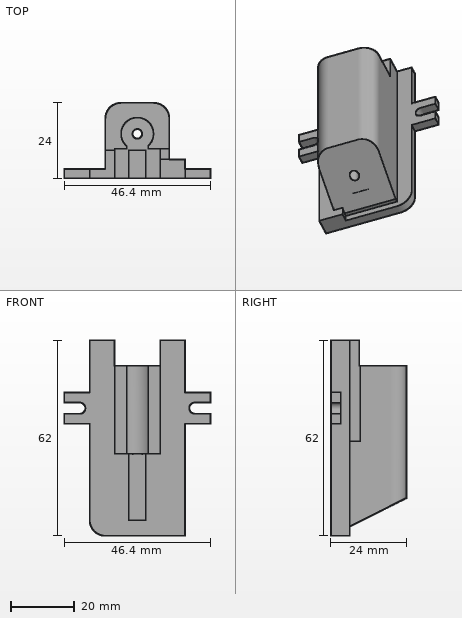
import cadquery as cq

height = 62
plate_width = 30.25
plate_thickness = 3.05
plate_corner_radius = 5.0
rail_thickness = 6.0
post_rib_depth = 9.0

lug_span = 46.4
lug_height = 10.0
lug_center_z = 40.5
notch_width = 3.5
notch_depth = 6.7

housing_width = 20.35
housing_back = 24.0
housing_corner_radius = 5.0
housing_top = 53.95
housing_bottom = 2.1
slope_start_y = 4.3
slope_end_z = 12.0

pocket_width = 14.4
pocket_depth = 9.35
pocket_floor = 26.05
slot_width = 5.3
slot_depth = 9.0
slot_floor = 4.9
gap_floor = 30.0
bore_diameter = 10.3
bore_y = 14.15
neck_width = 6.8
through_diameter = 3.0


def block(x_range, y_range, z_range):
    """Axis-aligned box spanning the given (low, high) ranges."""
    sizes = [high - low for low, high in (x_range, y_range, z_range)]
    corner = (x_range[0], y_range[0], z_range[0])
    return cq.Workplane("XY").box(*sizes, centered=False).translate(corner)


def centered_block(width, y_range, z_range):
    """Box of the given width, symmetric about X = 0."""
    return block((-width / 2, width / 2), y_range, z_range)


def vertical_cylinder(diameter, z_range):
    """Cylinder on the bore axis."""
    low, high = z_range
    base = cq.Workplane("XY", origin=(0, bore_y, low))
    return base.circle(diameter / 2).extrude(high - low)


def make_plate():
    """Plate with one rounded lower corner and a thicker rail on its +X side."""
    plate = centered_block(plate_width, (0, plate_thickness), (0, height))
    plate = plate.edges("|Y and <X and <Z").fillet(plate_corner_radius)
    rail = block((pocket_width / 2, plate_width / 2), (0, rail_thickness), (0, height))
    return plate.union(rail)


def make_lugs():
    """Bar across the plate, notched with a rounded slot at both ends."""
    lug_z = (lug_center_z - lug_height / 2, lug_center_z + lug_height / 2)
    lugs = centered_block(lug_span, (0, plate_thickness), lug_z)
    for side in (-1, 1):
        notch = (
            cq.Workplane("XZ", origin=(side * lug_span / 2, 0, lug_center_z))
            .slot2D(2 * notch_depth, notch_width)
            .extrude(-plate_thickness)
        )
        lugs = lugs.cut(notch)
    return lugs


def make_housing():
    """Round-backed body with a sloping underside."""
    profile = [
        (0, housing_bottom),
        (slope_start_y, housing_bottom),
        (housing_back, slope_end_z),
        (housing_back, housing_top),
        (0, housing_top),
    ]
    side_profile = cq.Workplane("YZ").polyline(profile).close()
    housing = side_profile.extrude(housing_width / 2, both=True)
    envelope = centered_block(housing_width, (0, housing_back), (0, height))
    envelope = envelope.edges("|Z and >Y").fillet(housing_corner_radius)
    return housing.intersect(envelope)


def make_post_rib():
    """Rib that stiffens the -X post up to the top of the plate."""
    rib_x = (-housing_width / 2, -pocket_width / 2)
    return block(rib_x, (0, post_rib_depth), (pocket_floor, height))


def make_openings():
    """Stepped front pocket, gap behind the rail, keyhole bore and through hole."""
    pocket = centered_block(pocket_width, (0, pocket_depth), (pocket_floor, height))
    slot = centered_block(slot_width, (0, slot_depth), (slot_floor, height))
    gap_behind_rail = block(
        (pocket_width / 2, plate_width / 2), (rail_thickness, pocket_depth), (gap_floor, height)
    )
    neck = centered_block(neck_width, (0, bore_y), (pocket_floor, height))
    bore = vertical_cylinder(bore_diameter, (pocket_floor, height))
    through_hole = vertical_cylinder(through_diameter, (0, height))
    openings = pocket.union(slot).union(gap_behind_rail)
    return openings.union(neck).union(bore).union(through_hole)


solid_body = make_plate().union(make_lugs()).union(make_housing()).union(make_post_rib())
result = solid_body.cut(make_openings())